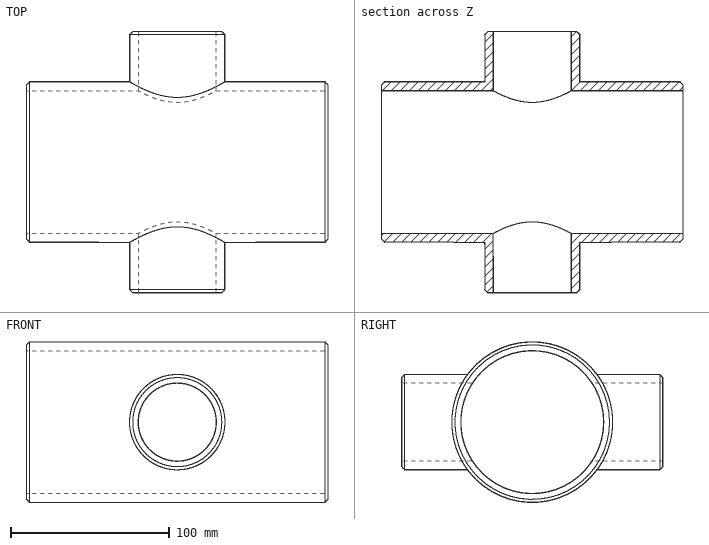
import cadquery as cq

run_length = 190.5
run_outer_diameter = 101.6
run_bore_diameter = 90.12

branch_length = 165.1
branch_outer_diameter = 60.3
branch_bore_diameter = 49.22

end_chamfer = 2.0


def centred_cylinder(plane, diameter, length):
    """Cylinder centred on the origin, with its axis normal to the plane."""
    return cq.Workplane(plane).circle(diameter / 2).extrude(length / 2, both=True)


def chamfered_bar(plane, axis, diameter, length):
    """Centred cylinder with both end edges chamfered."""
    bar = centred_cylinder(plane, diameter, length)
    return bar.faces(f"<{axis} or >{axis}").edges().chamfer(end_chamfer)


run_body = chamfered_bar("YZ", "X", run_outer_diameter, run_length)
branch_body = chamfered_bar("XZ", "Y", branch_outer_diameter, branch_length)

run_bore = centred_cylinder("YZ", run_bore_diameter, run_length)
branch_bore = centred_cylinder("XZ", branch_bore_diameter, branch_length)

result = run_body.union(branch_body).cut(run_bore).cut(branch_bore)